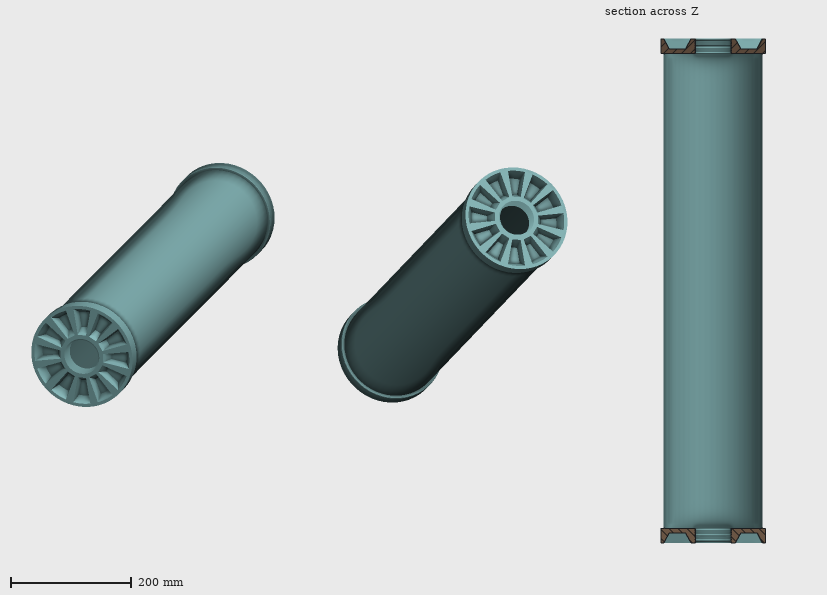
import cadquery as cq
import math

overall_length = 838.0
tube_diameter = 165.0
tube_bore_diameter = 161.0

cap_diameter = 175.0
cap_length = 25.0
cap_edge_chamfer = 1.0
cap_bore_diameter = 56.0

groove_diameter = 60.0
groove_count = 12

pocket_count = 12
pocket_depth = 17.0
mouth_outer_radius = 82.0
mouth_inner_radius = 37.0
mouth_outer_width = 29.0
mouth_inner_width = 14.0
end_wall_inset = 9.0
side_wall_inset = 3.0

tube_length = overall_length - 2 * cap_length


def make_tube():
    """Thin-walled tube along Y, centred on the origin."""
    return (
        cq.Workplane("XZ", origin=(0, tube_length / 2, 0))
        .circle(tube_diameter / 2)
        .circle(tube_bore_diameter / 2)
        .extrude(tube_length)
    )


def pocket_outline(height, inner_radius, outer_radius, inner_width, outer_width):
    """Closed wedge outline on the +X axis, with a round outer end."""
    corner_x = math.sqrt(outer_radius**2 - (outer_width / 2) ** 2)
    return (
        cq.Workplane("XY", origin=(0, 0, height))
        .moveTo(inner_radius, -inner_width / 2)
        .lineTo(corner_x, -outer_width / 2)
        .threePointArc((outer_radius, 0), (corner_x, outer_width / 2))
        .lineTo(inner_radius, inner_width / 2)
        .close()
        .val()
    )


def make_pocket():
    """Pocket volume, widest at its mouth on Z = 0."""
    spread = (mouth_outer_width - mouth_inner_width) / (mouth_outer_radius - mouth_inner_radius)
    width_change = spread * end_wall_inset
    mouth = pocket_outline(
        0, mouth_inner_radius, mouth_outer_radius, mouth_inner_width, mouth_outer_width
    )
    floor = pocket_outline(
        pocket_depth,
        mouth_inner_radius + end_wall_inset,
        mouth_outer_radius - end_wall_inset,
        mouth_inner_width + width_change - 2 * side_wall_inset,
        mouth_outer_width - width_change - 2 * side_wall_inset,
    )
    return cq.Workplane(cq.Solid.makeLoft([mouth, floor], True))


def make_grooved_bore():
    """Volume of the cap bore, from Z = 0 to the tube side, with its V-shaped grooves."""
    pitch = cap_length / groove_count
    profile = cq.Workplane("XZ").lineTo(groove_diameter / 2, 0)
    for index in range(groove_count):
        profile = profile.lineTo(cap_bore_diameter / 2, (index + 0.5) * pitch)
        profile = profile.lineTo(groove_diameter / 2, (index + 1) * pitch)
    return profile.lineTo(0, cap_length).close().revolve(360, (0, 0, 0), (0, 1, 0))


def make_cap():
    """Cap with its pocketed outer face on Z = 0 and its chamfered tube side at Z = cap_length."""
    cap = (
        cq.Workplane("XY")
        .circle(cap_diameter / 2)
        .extrude(cap_length)
        .faces(">Z")
        .chamfer(cap_edge_chamfer)
        .cut(make_grooved_bore())
    )
    pocket = make_pocket()
    for index in range(pocket_count):
        angle = index * 360 / pocket_count
        cap = cap.cut(pocket.rotate((0, 0, 0), (0, 0, 1), angle))
    return cap


tube = make_tube()

caps = []
for side in (-1, 1):
    cap = make_cap().rotate((0, 0, 0), (1, 0, 0), 90 * side)
    caps.append(cap.translate((0, side * overall_length / 2, 0)))

result = cq.Compound.makeCompound([tube.val(), *[cap.val() for cap in caps]])